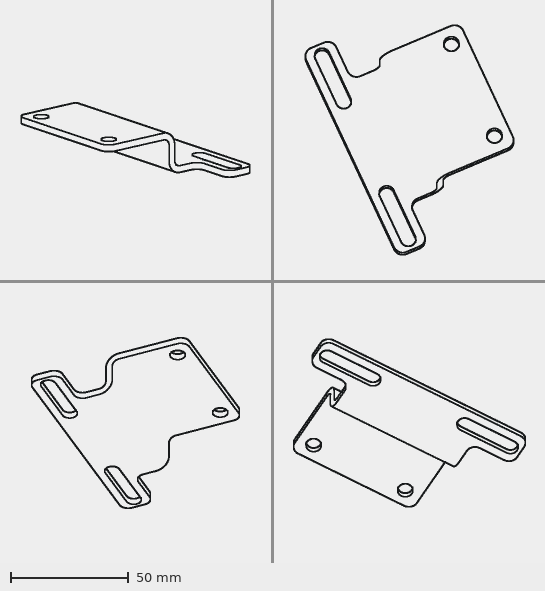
import cadquery as cq

flange_width = 100.0
plate_width = 60.0
depth = 64.0
height = 19.0
thickness = 3.0

inner_bend_radius = 3.0
outer_bend_radius = inner_bend_radius + thickness
corner_radius = 4.0

flange_depth = 14.0
web_setback = 30.0

hole_diameter = 6.5
hole_spacing = 45.0
hole_setback = 7.0
slot_inner_center = 22.5
slot_outer_center = 45.0

rear_y = depth / 2
front_y = -depth / 2
web_front_y = rear_y - web_setback
web_rear_y = web_front_y + thickness
slot_length = slot_outer_center - slot_inner_center + hole_diameter
slot_x = (slot_inner_center + slot_outer_center) / 2


def bent_sheet():
    """Z-shaped side profile extruded across the full flange width."""
    profile = (
        cq.Workplane("YZ")
        .moveTo(rear_y, 0)
        .lineTo(web_front_y + outer_bend_radius, 0)
        .radiusArc((web_front_y, outer_bend_radius), outer_bend_radius)
        .lineTo(web_front_y, height - outer_bend_radius)
        .radiusArc((web_front_y - inner_bend_radius, height - thickness), -inner_bend_radius)
        .lineTo(front_y, height - thickness)
        .lineTo(front_y, height)
        .lineTo(web_rear_y - outer_bend_radius, height)
        .radiusArc((web_rear_y, height - outer_bend_radius), outer_bend_radius)
        .lineTo(web_rear_y, outer_bend_radius)
        .radiusArc((web_rear_y + inner_bend_radius, thickness), -inner_bend_radius)
        .lineTo(rear_y, thickness)
        .close()
    )
    return profile.extrude(flange_width / 2, both=True)


def plan_outline():
    """T-shaped plan with every corner rounded, as a block of full height."""
    plate = cq.Workplane("XY").rect(plate_width, depth).extrude(height)
    flange = (
        cq.Workplane("XY")
        .center(0, rear_y - flange_depth / 2)
        .rect(flange_width, flange_depth)
        .extrude(height)
    )
    return plate.union(flange, clean=True).edges("|Z").fillet(corner_radius)


def flange_slots():
    """Pair of slots through the lower flange."""
    return (
        cq.Workplane("XY")
        .pushPoints([(side * slot_x, rear_y - flange_depth / 2) for side in (-1, 1)])
        .slot2D(slot_length, hole_diameter)
        .extrude(height)
    )


def plate_holes():
    """Pair of round holes through the raised plate."""
    return (
        cq.Workplane("XY")
        .pushPoints([(side * hole_spacing / 2, front_y + hole_setback) for side in (-1, 1)])
        .circle(hole_diameter / 2)
        .extrude(height)
    )


result = bent_sheet().intersect(plan_outline()).cut(flange_slots()).cut(plate_holes())